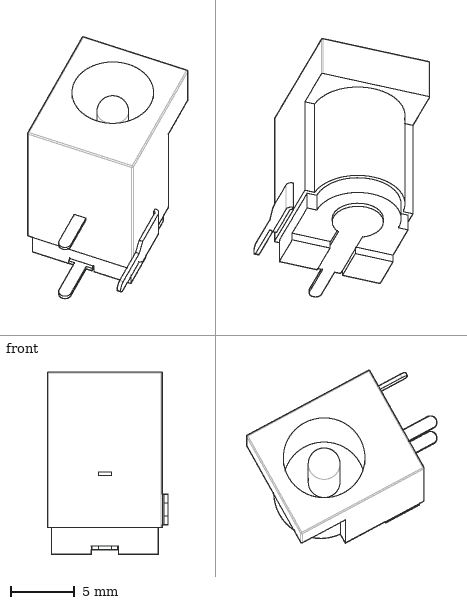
import cadquery as cq


body_width = 9.0
body_depth = 11.0
body_height = 12.2
cap_height = 2.1
edge_round = 0.1
head_height = 3.5
barrel_radius = 3.7
barrel_y = 6.8
side_wall_depth = 7.08

top_z = cap_height + body_height
front_to_axis = body_depth - body_width / 2

socket_diameter = 6.4
socket_depth = 9.0
contact_diameter = 2.5
contact_recess = 1.0

cap_inset = 0.3
foot_depth = 3.0
foot_relief = 0.65
notch_width = 2.1

pin_width = 1.0
pin_reach = 3.5
upper_pin_top = 6.44
upper_pin_thickness = 0.25
plate_thickness = 0.3
bottom_strip_width = 2.0
bottom_disc_radius = 2.0
bottom_strip_front = 0.05

side_center_z = 3.52
side_height = 2.4
side_gap = 0.15
side_back_y = 4.41
side_taper_y = 0.9
bend_radius = 0.1
embed = 0.44


def block(width, y_front, y_back, z_low, z_high):
    """Box centred on x = 0."""
    box = cq.Workplane("XY").box(width, y_back - y_front, z_high - z_low, centered=(True, False, False))
    return box.translate((0, y_front, z_low))


def cylinder(radius, y, z_low, z_high):
    """Vertical cylinder on x = 0."""
    return cq.Workplane("XY", origin=(0, y, z_low)).circle(radius).extrude(z_high - z_low)


def pin_blade(y_back):
    """Round-ended pin outline, drawn flat and pointing to -Y."""
    round_start = pin_width / 2 - pin_reach
    return (
        cq.Workplane("XY")
        .moveTo(-pin_width / 2, y_back)
        .lineTo(-pin_width / 2, round_start)
        .threePointArc((0, -pin_reach), (pin_width / 2, round_start))
        .lineTo(pin_width / 2, y_back)
        .close()
    )


def make_housing():
    outer = block(body_width, 0, body_depth, cap_height, top_z)
    outer = outer.edges("|Z or >Z").fillet(edge_round)
    head = block(body_width, 0, body_depth, top_z - head_height, top_z)
    walls = block(body_width, 0, side_wall_depth, cap_height, top_z)
    barrel = cylinder(barrel_radius, barrel_y, cap_height, top_z)
    return outer.intersect(head.union(walls).union(barrel))


def make_cap():
    cap_width = body_width - 2 * cap_inset
    foot_back = cap_inset + foot_depth
    upper = block(cap_width, cap_inset, side_wall_depth - cap_inset, foot_relief, cap_height)
    rear = cylinder(barrel_radius - cap_inset, barrel_y, foot_relief, cap_height)
    foot = block(cap_width, cap_inset, foot_back, 0, foot_relief)
    notch = block(notch_width, cap_inset, foot_back, 0, foot_relief)
    return upper.union(rear).union(foot.cut(notch))


def make_contact():
    radius = contact_diameter / 2
    ball_z = top_z - contact_recess - radius
    post = cylinder(radius, front_to_axis, top_z - socket_depth - embed, ball_z)
    ball = cq.Workplane("XY").sphere(radius).translate((0, front_to_axis, ball_z))
    return post.union(ball)


def make_upper_pin():
    return pin_blade(embed).extrude(-upper_pin_thickness).translate((0, 0, upper_pin_top))


def make_bottom_terminal():
    low = foot_relief - plate_thickness
    disc = cylinder(bottom_disc_radius, barrel_y, low, foot_relief)
    strip = block(bottom_strip_width, bottom_strip_front, barrel_y, low, foot_relief)
    pin = pin_blade(embed).extrude(plate_thickness).translate((0, 0, low))
    return disc.union(strip).union(pin)


def make_side_terminal():
    wall_x = body_width / 2
    inner_x = wall_x + side_gap
    outer_x = inner_x + plate_thickness

    outer_radius = bend_radius + plate_thickness
    leg_front_y = side_back_y - plate_thickness
    bent_strip = (
        cq.Workplane("XY", origin=(0, 0, -side_height / 2))
        .moveTo(wall_x - embed, side_back_y)
        .lineTo(outer_x - outer_radius, side_back_y)
        .radiusArc((outer_x, side_back_y - outer_radius), outer_radius)
        .lineTo(outer_x, -pin_reach)
        .lineTo(inner_x, -pin_reach)
        .lineTo(inner_x, leg_front_y - bend_radius)
        .radiusArc((inner_x - bend_radius, leg_front_y), -bend_radius)
        .lineTo(wall_x - embed, leg_front_y)
        .close()
        .extrude(side_height)
    )

    half_plate = side_height / 2
    half_pin = pin_width / 2
    shoulder_y = side_taper_y - (half_plate - half_pin)
    outline = (
        cq.Workplane("YZ", origin=(wall_x - embed, 0, 0))
        .moveTo(side_back_y, half_plate)
        .lineTo(side_taper_y, half_plate)
        .lineTo(shoulder_y, half_pin)
        .lineTo(half_pin - pin_reach, half_pin)
        .threePointArc((-pin_reach, 0), (half_pin - pin_reach, -half_pin))
        .lineTo(shoulder_y, -half_pin)
        .lineTo(side_taper_y, -half_plate)
        .lineTo(side_back_y, -half_plate)
        .close()
        .extrude(embed + outer_x - wall_x)
    )
    return bent_strip.intersect(outline).translate((0, 0, side_center_z))


socket = cylinder(socket_diameter / 2, front_to_axis, top_z - socket_depth, top_z)

result = make_housing().cut(socket).union(make_contact()).union(make_cap())
result = result.union(make_upper_pin()).union(make_bottom_terminal()).union(make_side_terminal())